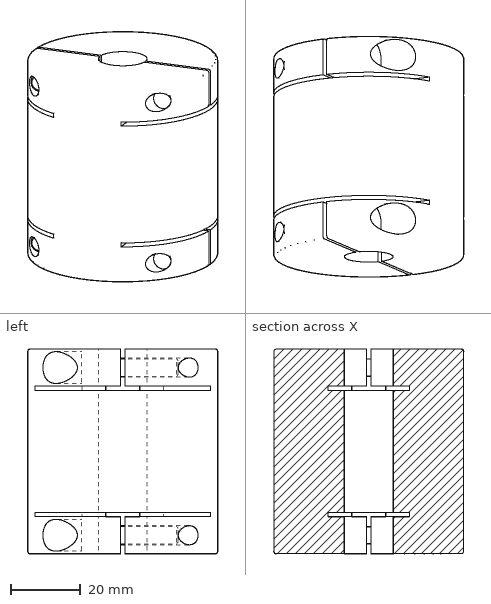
import cadquery as cq

length = 59.0
outer_diameter = 54.8
bore_diameter = 14.0
rim_fillet = 0.75

collar_length = 10.75
cut_width = 1.2
web_half_width = 10.6
relief_diameter = 23.35

screw_offset = 19.5
screw_height = length / 2 - collar_length / 2
screw_hole_diameter = 5.5
free_screw_diameter = 5.0
screw_tip_chamfer = 0.5
screw_tip_y = -15.95
counterbore_diameter = 9.15
counterbore_floor_y = 11.8

outer_radius = outer_diameter / 2
slot_center_z = length / 2 - collar_length - cut_width / 2


def rod_along_y(x, z, diameter, y_start, y_end):
    """Solid rod parallel to Y between two Y positions."""
    rod = cq.Workplane("XZ", origin=(x, y_start, z)).circle(diameter / 2)
    return rod.extrude(y_start - y_end)


def make_body():
    """Plain cylinder with rounded rims and a through bore."""
    body = cq.Workplane("XY").circle(outer_radius).extrude(length / 2, both=True)
    body = body.edges("%CIRCLE").fillet(rim_fillet)
    bore = cq.Workplane("XY").circle(bore_diameter / 2).extrude(length, both=True)
    return body.cut(bore)


def collar_cuts(end):
    """Side slots, inner relief and diametral slit that free one clamp collar."""
    slot_z = end * slot_center_z
    side_depth = outer_radius - web_half_width
    cuts = cq.Workplane("XY", origin=(0, 0, slot_z)).circle(relief_diameter / 2)
    cuts = cuts.extrude(cut_width / 2, both=True)
    for side in (-1, 1):
        slot_x = side * (web_half_width + side_depth / 2)
        slot = cq.Workplane("XY", origin=(slot_x, 0, slot_z))
        cuts = cuts.union(slot.box(side_depth, outer_diameter, cut_width))
    slit_length = length / 2 - slot_center_z
    slit = cq.Workplane("XY", origin=(0, 0, end * (slot_center_z + slit_length / 2)))
    return cuts.union(slit.box(outer_diameter, cut_width, slit_length))


def screw_opening(x, z):
    """Counterbore from +Y and screw hole from the slit out through -Y."""
    counterbore = rod_along_y(x, z, counterbore_diameter, counterbore_floor_y, outer_radius)
    hole = rod_along_y(x, z, screw_hole_diameter, -outer_radius, 0)
    return counterbore.union(hole)


def screw(x, z):
    """Screw from the solid +Y half across the slit to its recessed tip.

    The -X screw is thinner than its hole and has a chamfered tip; the +X screw fills its hole.
    """
    if x > 0:
        return rod_along_y(x, z, screw_hole_diameter, screw_tip_y, counterbore_floor_y)
    shank = rod_along_y(x, z, free_screw_diameter, screw_tip_y, counterbore_floor_y)
    return shank.faces("<Y").chamfer(screw_tip_chamfer)


result = make_body()
for end in (-1, 1):
    result = result.cut(collar_cuts(end))
    for side in (-1, 1):
        position = (side * screw_offset, end * screw_height)
        result = result.cut(screw_opening(*position)).union(screw(*position))